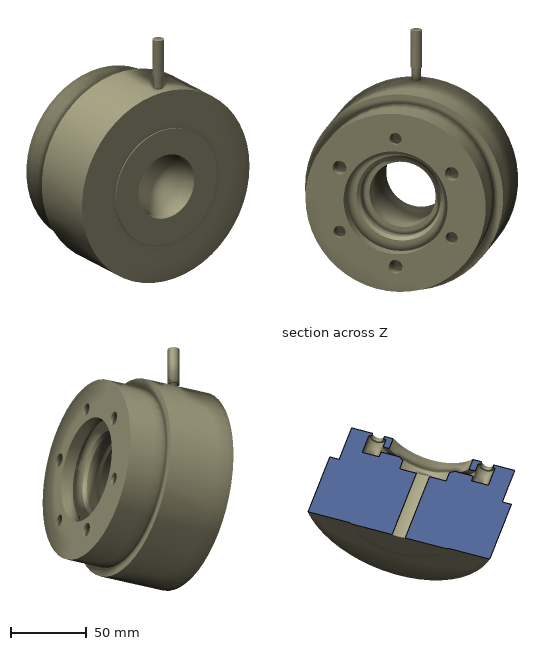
import cadquery as cq
import math

body_diameter = 133.5
hub_diameter = 121.4
hub_length = 26.8
body_end = 74.0
rear_boss_diameter = 80.5
total_length = 74.6

recess_diameter = 70.0
groove_diameter = 78.8
groove_start = 8.7
groove_end = 12.7
seat_diameter = 54.0
seat_chamfer = 2.0
seat_end = 22.0
bore_diameter = 44.5

bolt_circle_radius = 43.6
hole_count = 6
small_hole_diameter = 8.0
large_hole_diameter = 9.2
small_hole_lip = 2.7
relief_diameter = 11.4
hole_depth = 16.8

pin_x = 65.2
pin_neck_diameter = 6.0
pin_grip_diameter = 7.7
pin_grip_length = 25.5
total_height = 167.6
neck_root_depth = 1.7


def disc(diameter, start, end):
    """Cylinder about the X axis between two x positions."""
    return cq.Workplane("YZ").workplane(offset=start).circle(diameter / 2).extrude(end - start)


def make_body():
    body = disc(hub_diameter, 0, hub_length)
    body = body.union(disc(body_diameter, hub_length, body_end))
    return body.union(disc(rear_boss_diameter, body_end, total_length))


def make_bore():
    """Recess with an undercut groove, chamfered seat and through bore."""
    recess_radius = recess_diameter / 2
    groove_radius = groove_diameter / 2
    seat_radius = seat_diameter / 2
    bore_radius = bore_diameter / 2
    half_section = [
        (0, 0),
        (0, recess_radius),
        (groove_start, recess_radius),
        (groove_start, groove_radius),
        (groove_end, groove_radius),
        (groove_end, seat_radius + seat_chamfer),
        (groove_end + seat_chamfer, seat_radius),
        (seat_end, seat_radius),
        (seat_end, bore_radius),
        (total_length, bore_radius),
        (total_length, 0),
    ]
    return cq.Workplane("XY").polyline(half_section).close().revolve(360, (0, 0, 0), (1, 0, 0))


def make_small_hole():
    """Hole through a thin lip at the hub face, wider behind the lip."""
    entry = disc(small_hole_diameter, 0, small_hole_lip)
    return entry.union(disc(relief_diameter, small_hole_lip, hole_depth))


def make_holes():
    """Ring of blind holes, starting with a small one at the top."""
    small_hole = make_small_hole()
    large_hole = disc(large_hole_diameter, 0, hole_depth)
    holes = cq.Workplane("YZ")
    for index in range(hole_count):
        angle = 2 * math.pi * index / hole_count
        hole = small_hole if index % 2 == 0 else large_hole
        y = bolt_circle_radius * math.sin(angle)
        z = bolt_circle_radius * math.cos(angle)
        holes = holes.union(hole.translate((0, y, z)))
    return holes


def make_pin():
    """Neck rooted in the body, carrying a thicker grip."""
    pin_top = total_height - body_diameter / 2
    grip_bottom = pin_top - pin_grip_length
    neck_bottom = body_diameter / 2 - neck_root_depth
    neck = cq.Workplane("XY", origin=(pin_x, 0, neck_bottom)).circle(pin_neck_diameter / 2)
    neck = neck.extrude(grip_bottom - neck_bottom)
    grip = cq.Workplane("XY", origin=(pin_x, 0, grip_bottom)).circle(pin_grip_diameter / 2)
    return neck.union(grip.extrude(pin_grip_length))


result = make_body().union(make_pin()).cut(make_bore()).cut(make_holes())